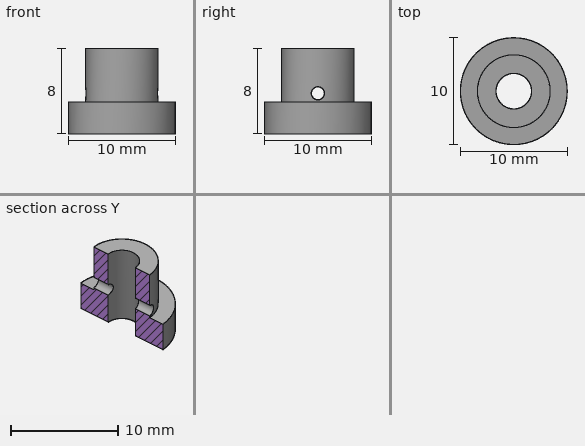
import cadquery as cq

flange_diameter = 10
flange_height = 3
hub_diameter = 6.8
total_height = 8
bore_diameter = 3.3
cross_hole_diameter = 1.2
cross_hole_height = 3.8

flange = cq.Workplane("XY").circle(flange_diameter / 2).extrude(flange_height)
hub = cq.Workplane("XY").circle(hub_diameter / 2).extrude(total_height)

bore = cq.Workplane("XY").circle(bore_diameter / 2).extrude(total_height)

cross_hole = (
    cq.Workplane("YZ")
    .center(0, cross_hole_height)
    .circle(cross_hole_diameter / 2)
    .extrude(flange_diameter / 2, both=True)
)

result = flange.union(hub).cut(bore).cut(cross_hole)